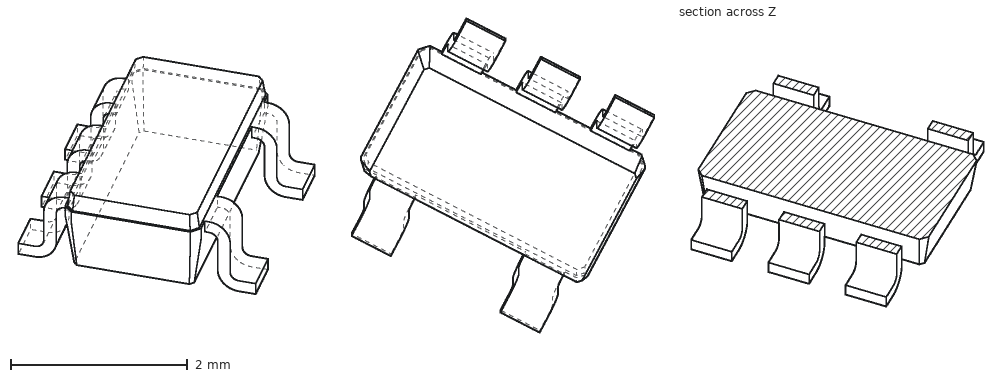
import cadquery as cq
import math


package_height = 1.1
body_bottom = 0.1
lead_thickness = 0.148
band_top = 0.9
band_bottom = band_top - lead_thickness

body_width = 1.6
body_length = 2.9
corner_chamfer = 0.1
lower_inset = 0.093
ledge_width = 0.023
upper_inset = 0.03

lead_span = 2.8
lead_width = 0.502
lead_pitch = 0.95
foot_length = 0.2
inner_bend_radius = 0.102
outer_bend_radius = inner_bend_radius + lead_thickness
lead_embed = 0.087
left_lead_rows = (-1, 0, 1)
right_lead_rows = (-1, 1)


def body_layer(start_z, end_z, start_inset, end_inset):
    """Layer of the body whose octagonal outline is drawn in evenly from start_z to end_z."""
    start_chamfer = corner_chamfer - start_inset * (2 - math.sqrt(2))
    half_width = body_width / 2 - start_inset
    half_length = body_length / 2 - start_inset
    corner_x = half_width - start_chamfer
    corner_y = half_length - start_chamfer
    outline = [
        (half_width, -corner_y),
        (half_width, corner_y),
        (corner_x, half_length),
        (-corner_x, half_length),
        (-half_width, corner_y),
        (-half_width, -corner_y),
        (-corner_x, -half_length),
        (corner_x, -half_length),
    ]
    height = end_z - start_z
    taper_angle = math.degrees(math.atan2(end_inset - start_inset, abs(height)))
    base = cq.Workplane("XY").workplane(offset=start_z).polyline(outline).close()
    return base.extrude(height, taper=taper_angle)


def make_body():
    """Straight band at lead level, a tapered lower part and a stepped-in tapered upper part."""
    band = body_layer(band_bottom, band_top, 0, 0)
    lower = body_layer(band_bottom, body_bottom, 0, lower_inset)
    upper = body_layer(band_top, package_height, ledge_width, ledge_width + upper_inset)
    return band.union(lower).union(upper)


def make_lead():
    """S-bent lead on the +X side, centred on Y = 0, with its root inside the body."""
    diagonal = math.sqrt(0.5)
    toe_x = lead_span / 2
    lower_bend_x = toe_x - foot_length
    shin_outer_x = lower_bend_x - inner_bend_radius
    shin_inner_x = shin_outer_x - lead_thickness
    upper_bend_x = shin_outer_x - outer_bend_radius
    root_x = body_width / 2 - lead_embed
    lower_bend_z = outer_bend_radius
    upper_bend_z = band_top - outer_bend_radius

    def lower_bend_middle(radius):
        return (lower_bend_x - radius * diagonal, lower_bend_z - radius * diagonal)

    def upper_bend_middle(radius):
        return (upper_bend_x + radius * diagonal, upper_bend_z + radius * diagonal)

    profile = (
        cq.Workplane("XZ")
        .moveTo(toe_x, 0)
        .lineTo(toe_x, lead_thickness)
        .lineTo(lower_bend_x, lead_thickness)
        .threePointArc(lower_bend_middle(inner_bend_radius), (shin_outer_x, lower_bend_z))
        .lineTo(shin_outer_x, upper_bend_z)
        .threePointArc(upper_bend_middle(outer_bend_radius), (upper_bend_x, band_top))
        .lineTo(root_x, band_top)
        .lineTo(root_x, band_bottom)
        .lineTo(upper_bend_x, band_bottom)
        .threePointArc(upper_bend_middle(inner_bend_radius), (shin_inner_x, upper_bend_z))
        .lineTo(shin_inner_x, lower_bend_z)
        .threePointArc(lower_bend_middle(outer_bend_radius), (lower_bend_x, 0))
        .close()
    )
    return profile.extrude(lead_width / 2, both=True)


right_lead = make_lead()
left_lead = right_lead.mirror("YZ")

result = make_body()
for lead, rows in ((left_lead, left_lead_rows), (right_lead, right_lead_rows)):
    for row in rows:
        result = result.union(lead.translate((0, row * lead_pitch, 0)))